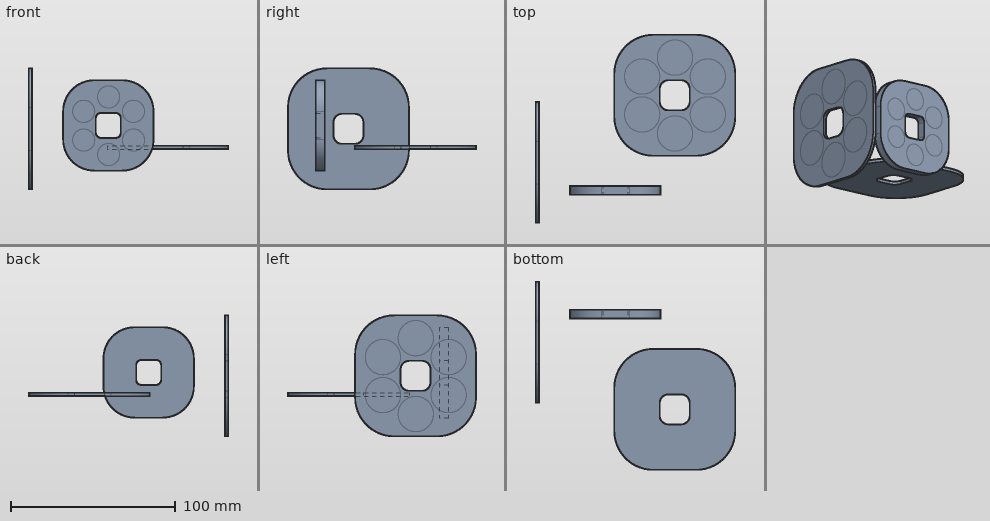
import cadquery as cq

LARGE_SIDE = 73.5
LARGE_FLAT = 25.9
LARGE_THICKNESS = 2.0
LARGE_WINDOW = 18.0
LARGE_WINDOW_RADIUS = 5.1
LARGE_DISC_DIAMETER = 21.5
LARGE_RING_RADIUS = 23.0

SMALL_SIDE = 55.0
SMALL_FLAT = 17.0
SMALL_THICKNESS = 5.5
SMALL_WINDOW = 15.0
SMALL_WINDOW_RADIUS = 3.0
SMALL_DISC_DIAMETER = 13.5
SMALL_RING_RADIUS = 17.5

DISC_COUNT = 6
DISC_DEPTH = 1.2
FIRST_DISC_ANGLE = 90

OVERALL_X = 121.2
OVERALL_Y = 114.2
FLAT_CENTRE_X = OVERALL_X - LARGE_SIDE / 2
FLAT_CENTRE_Y = OVERALL_Y - LARGE_SIDE
FLAT_TOP_Z = -10.2
SMALL_CENTRE_X = 48.3
SMALL_FRONT_Y = -19.7
SMALL_CENTRE_Z = 2.0


def rounded_block(face, side, radius, thickness):
    """Square block behind the face plane, with its four corner edges rounded."""
    block = cq.Workplane(face).rect(side, side).extrude(-thickness)
    corner_edges = cq.selectors.ParallelDirSelector(face.zDir)
    return block.edges(corner_edges).fillet(radius)


def disc_ring(face, ring_radius, diameter):
    """Evenly spaced discs whose tops lie in the face plane."""
    return (
        cq.Workplane(face)
        .polarArray(ring_radius, FIRST_DISC_ANGLE, 360, DISC_COUNT)
        .circle(diameter / 2)
        .extrude(-DISC_DEPTH)
    )


def inlay(plate, discs):
    """Fill matching pockets with the discs in one solid, keeping each disc's rim on the flat face."""
    return plate.cut(discs).union(discs, clean=False)


def large_plate(face):
    corner_radius = (LARGE_SIDE - LARGE_FLAT) / 2
    plate = rounded_block(face, LARGE_SIDE, corner_radius, LARGE_THICKNESS)
    window = rounded_block(face, LARGE_WINDOW, LARGE_WINDOW_RADIUS, LARGE_THICKNESS)
    discs = disc_ring(face, LARGE_RING_RADIUS, LARGE_DISC_DIAMETER)
    return inlay(plate.cut(window), discs)


def small_plate(face):
    corner_radius = (SMALL_SIDE - SMALL_FLAT) / 2
    plate = rounded_block(face, SMALL_SIDE, corner_radius, SMALL_THICKNESS)
    window = rounded_block(face, SMALL_WINDOW, SMALL_WINDOW_RADIUS, SMALL_THICKNESS)
    discs = disc_ring(face, SMALL_RING_RADIUS, SMALL_DISC_DIAMETER)
    return inlay(plate.cut(window), discs)


side_face = cq.Plane(origin=(0, 0, 0), xDir=(0, -1, 0), normal=(-1, 0, 0))
flat_face = cq.Plane(
    origin=(FLAT_CENTRE_X, FLAT_CENTRE_Y, FLAT_TOP_Z), xDir=(1, 0, 0), normal=(0, 0, 1)
)
front_face = cq.Plane(
    origin=(SMALL_CENTRE_X, SMALL_FRONT_Y, SMALL_CENTRE_Z), xDir=(1, 0, 0), normal=(0, -1, 0)
)

large_plates = [large_plate(face) for face in (side_face, flat_face)]
front_plate = small_plate(front_face)

result = cq.Compound.makeCompound([*(plate.val() for plate in large_plates), front_plate.val()])